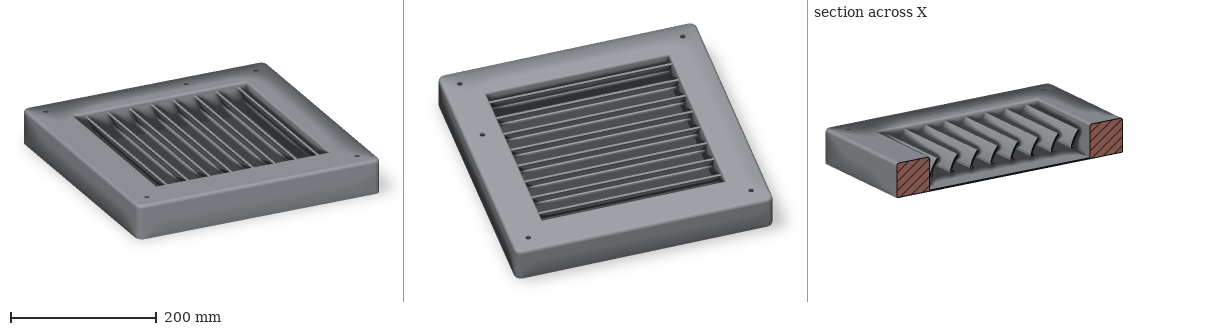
import cadquery as cq
import math

side = 370.0
height = 50.5
corner_radius = 10.0
top_edge_radius = 4.8

opening = 262.0
opening_corner_radius = 0.7
opening_edge_radius = 3.5
floor_thickness = 2.2

hole_offset = 160.0
bore_diameter = 7.8
bore_depth = 6.0
screw_diameter = 4.5
side_hole_diameter = 7.8
side_hole_y = 54.0

slat_count = 8
slat_pitch = 33.0
first_slat_y = 118.8
slat_thickness = 2.5
tip_z = 46.0
slat_radius = 53.5
tip_slope = 49.0
foot_slope = 75.0
lip_length = 3.0
lip_thickness = 3.0


def make_housing():
    """Rounded block with a square pocket that stops at the floor and has softened edges."""
    block = (
        cq.Workplane("XY")
        .rect(side, side)
        .extrude(height)
        .edges("|Z")
        .fillet(corner_radius)
        .faces(">Z")
        .edges()
        .fillet(top_edge_radius)
    )
    pocket = (
        cq.Workplane("XY")
        .workplane(offset=floor_thickness)
        .rect(opening, opening)
        .extrude(height)
    )
    zone = (side + opening) / 4
    around_opening = cq.selectors.BoxSelector((-zone, -zone, 0), (zone, zone, 2 * height))
    housing = block.cut(pocket).faces(">Z").edges(around_opening).fillet(opening_edge_radius)
    return housing.edges("|Z").edges(around_opening).fillet(opening_corner_radius)


def drill_holes(body):
    """Counterbored screw holes at the corners and one plain hole at -X."""
    corners = [(x, y) for x in (-hole_offset, hole_offset) for y in (-hole_offset, hole_offset)]
    top = cq.Workplane("XY").workplane(offset=height)
    screws = top.pushPoints(corners).circle(screw_diameter / 2).extrude(-height)
    bores = top.pushPoints(corners).circle(bore_diameter / 2).extrude(-bore_depth)
    side_hole = top.center(-hole_offset, side_hole_y).circle(side_hole_diameter / 2).extrude(-height)
    return body.cut(screws).cut(bores).cut(side_hole)


def make_slat(tip_y):
    """Arched sheet, steep at its foot and leaning toward -Y at its tip, with a small lip."""
    tip_angle = math.radians(90 - tip_slope)
    foot_angle = math.radians(90 - foot_slope)
    middle_angle = (tip_angle + foot_angle) / 2
    centre_y = tip_y - slat_radius * math.cos(tip_angle)
    centre_z = tip_z - slat_radius * math.sin(tip_angle)

    def on_arc(radius, angle):
        return (centre_y + radius * math.cos(angle), centre_z + radius * math.sin(angle))

    inner = slat_radius - slat_thickness
    foot_inner = on_arc(inner, foot_angle)
    foot_outer = on_arc(slat_radius, foot_angle)
    lip_y = foot_inner[0] - lip_length
    lip_bottom = foot_inner[1] - lip_thickness
    return (
        cq.Workplane("YZ")
        .workplane(offset=-opening / 2)
        .moveTo(*on_arc(slat_radius, tip_angle))
        .threePointArc(on_arc(slat_radius, middle_angle), foot_outer)
        .lineTo(foot_outer[0], lip_bottom)
        .lineTo(lip_y, lip_bottom)
        .lineTo(lip_y, foot_inner[1])
        .lineTo(*foot_inner)
        .threePointArc(on_arc(inner, middle_angle), on_arc(inner, tip_angle))
        .close()
        .extrude(opening)
    )


result = drill_holes(make_housing())
for index in range(slat_count):
    result = result.union(make_slat(first_slat_y - index * slat_pitch))